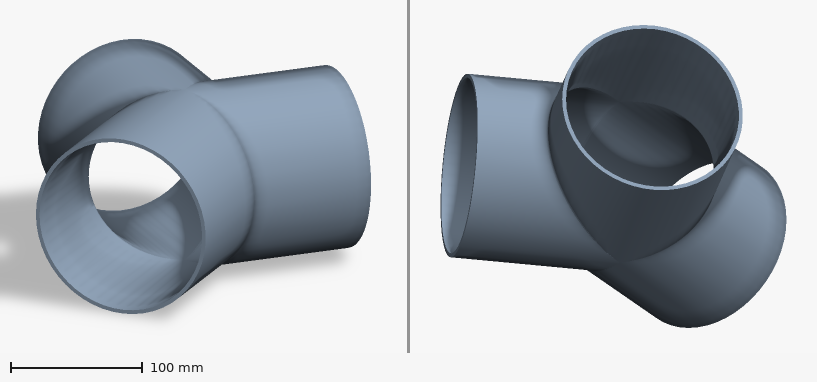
import cadquery as cq

outer_diameter = 139.7
wall = 3.0
leg_length = 124.0
arm_angle = 45.0
seam_outer_radius = 1.4

inner_diameter = outer_diameter - 2 * wall
seam_inner_radius = seam_outer_radius + wall

half_turn = 180.0
stem_heading = half_turn
stem_seam_heading = (stem_heading + arm_angle) / 2
arm_seam_heading = 0.0

legs = [
    (stem_heading, stem_seam_heading, -stem_seam_heading),
    (arm_angle, arm_seam_heading, stem_seam_heading),
    (-arm_angle, -stem_seam_heading, arm_seam_heading),
]


def turn_to(shape, heading):
    """Turn a shape that points along +Y to the given heading."""
    return shape.rotate((0, 0, 0), (0, 0, 1), -heading)


def clockwise_half(seam_heading):
    """Block filling the side of a seam plane that lies clockwise of the seam, seen from +Z."""
    size = 4 * leg_length
    block = cq.Workplane("XY").box(size, size, size).translate((size / 2, 0, 0))
    return turn_to(block, seam_heading)


def mitred_bar(heading, seam_before, seam_after, diameter):
    """Round bar along one leg, cut off along the seam planes on both sides of it."""
    overlap = diameter
    bar = cq.Workplane("XZ", origin=(0, leg_length, 0)).circle(diameter / 2).extrude(leg_length + overlap)
    bar = turn_to(bar, heading)
    bar = bar.intersect(clockwise_half(seam_before))
    return bar.intersect(clockwise_half(seam_after + half_turn))


def rounded_branch(diameter, seam_radius):
    """Three mitred bars of one diameter, joined, with every seam between them rounded."""
    branch = cq.Workplane("XY")
    for heading, seam_before, seam_after in legs:
        branch = branch.union(mitred_bar(heading, seam_before, seam_after, diameter))
    seams = branch.edges("%ELLIPSE")
    return seams.fillet(seam_radius)


outside = rounded_branch(outer_diameter, seam_outer_radius)
bore = rounded_branch(inner_diameter, seam_inner_radius)
result = outside.cut(bore)